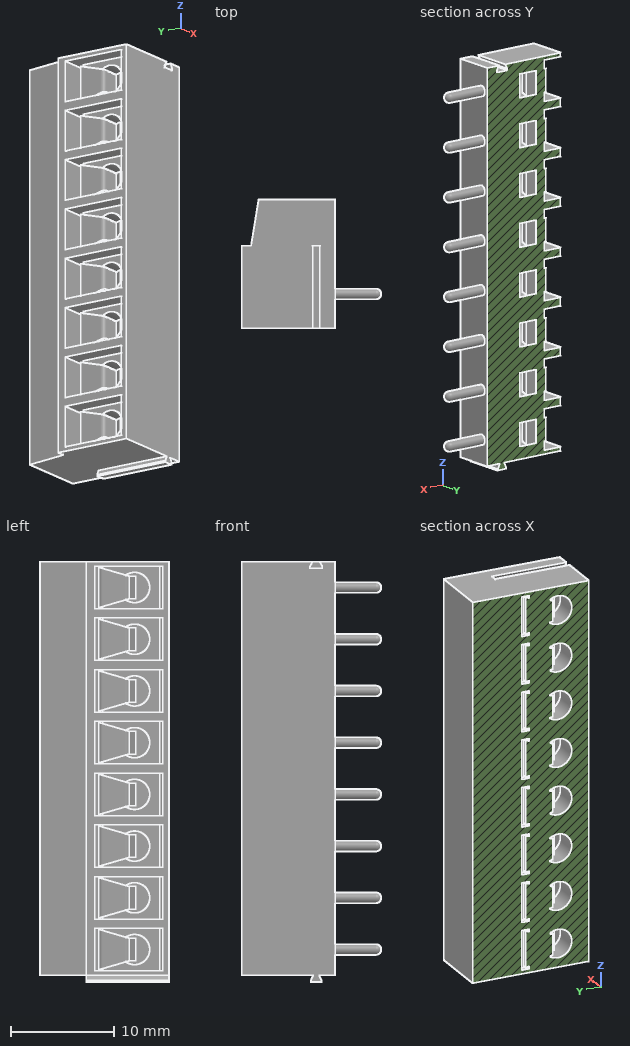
import cadquery as cq

pole_count = 8
overall_height = 40.7
rail_height = 0.65
body_height = overall_height - rail_height
pitch = body_height / pole_count
pole_heights = [(i + 0.5) * pitch for i in range(pole_count)]

body_length = 9.05
body_depth = 12.5
step_y = 8.0
step_x = 0.9
taper_top_x = 1.63

pocket_near_y = 0.6
pocket_far_y = 7.2
pocket_draft = 0.3
pocket_depth = 2.0
pocket_height = 4.1

pin_y = 3.35
clamp_radius = 1.45
clamp_depth = 3.0

sheet_front_x = 1.8
sheet_gap = 0.4
sheet_thickness = 0.33
root_bend_radius = 0.35
leg_bend_radius = 0.4
leg_y = 3.85
leg_end_x = 3.9
tail_width = 0.65
tail_rise = 0.33
sheet_root_height = 3.9
sheet_leg_height = 2.2
slot_end_x = 3.0

pin_radius = 0.53
pin_length = 4.47

dovetail_x = 7.2
rail_neck = 0.6
rail_width = 1.05
groove_neck = 0.7
groove_width = 1.22
groove_depth = 0.65
dovetail_lip = 0.15


def block(x_range, y_range, z_range):
    """Axis-aligned box given by its limits."""
    limits = (x_range, y_range, z_range)
    sizes = [high - low for low, high in limits]
    corner = tuple(low for low, high in limits)
    return cq.Workplane("XY").box(*sizes, centered=False).translate(corner)


def make_body():
    outline = [
        (0, 0),
        (body_length, 0),
        (body_length, body_depth),
        (taper_top_x, body_depth),
        (step_x, step_y),
        (0, step_y),
    ]
    return cq.Workplane("XY").polyline(outline).close().extrude(body_height)


def dovetail(neck, width, height, top_z):
    """Dovetail bar along Y, narrow at top_z and widening downwards."""
    lip_z = top_z - height + dovetail_lip
    bottom_z = top_z - height
    outline = [
        (dovetail_x - neck / 2, top_z),
        (dovetail_x - width / 2, lip_z),
        (dovetail_x - width / 2, bottom_z),
        (dovetail_x + width / 2, bottom_z),
        (dovetail_x + width / 2, lip_z),
        (dovetail_x + neck / 2, top_z),
    ]
    return cq.Workplane("XZ").polyline(outline).close().extrude(-step_y)


def make_pocket(z):
    """Pocket with one sloped wall, a slot beside the sheet and the clamp hole."""
    outline = [
        (0, pocket_near_y),
        (pocket_depth, pocket_near_y + pocket_draft),
        (pocket_depth, pocket_far_y),
        (0, pocket_far_y),
    ]
    low_z = z - pocket_height / 2
    pocket = cq.Workplane("XY", origin=(0, 0, low_z)).polyline(outline).close().extrude(pocket_height)
    slot_low_y = pocket_far_y - sheet_gap - root_bend_radius
    slot = block(
        (pocket_depth, slot_end_x),
        (slot_low_y, pocket_far_y),
        (low_z, low_z + pocket_height),
    )
    clamp = cq.Workplane("YZ", origin=(pocket_depth, pin_y, z)).circle(clamp_radius).extrude(clamp_depth)
    return pocket.union(slot).union(clamp)


def make_sheet(z):
    """Sheet bent round at its root, then into the clamp hole, with a tail folded back."""
    root_y = pocket_far_y - sheet_gap
    flat_start_y = root_y - root_bend_radius
    inner_leg_y = leg_y + sheet_thickness
    profile = (
        cq.Workplane("XY", origin=(0, 0, z - sheet_root_height / 2))
        .moveTo(slot_end_x, root_y)
        .lineTo(sheet_front_x + root_bend_radius, root_y)
        .radiusArc((sheet_front_x, flat_start_y), -root_bend_radius)
        .lineTo(sheet_front_x, leg_y + leg_bend_radius)
        .radiusArc((sheet_front_x + leg_bend_radius, leg_y), -leg_bend_radius)
        .lineTo(leg_end_x, leg_y)
        .lineTo(leg_end_x - tail_rise, leg_y - tail_width)
        .lineTo(leg_end_x - tail_rise + sheet_thickness, leg_y - tail_width)
        .lineTo(leg_end_x + sheet_thickness, inner_leg_y)
        .lineTo(slot_end_x, inner_leg_y)
        .close()
        .extrude(sheet_root_height)
    )
    tail_y = leg_y - tail_width
    front = [
        (root_y, z - sheet_root_height / 2),
        (leg_y, z - sheet_leg_height / 2),
        (tail_y, z - sheet_leg_height / 2),
        (tail_y, z + sheet_leg_height / 2),
        (leg_y, z + sheet_leg_height / 2),
        (root_y, z + sheet_root_height / 2),
    ]
    tapered = cq.Workplane("YZ").polyline(front).close().extrude(body_length)
    return profile.intersect(tapered)


def make_pin(z):
    """Round pin with a domed end, turned about its own axis along X."""
    shank_length = pin_length - pin_radius
    return (
        cq.Workplane("XY", origin=(body_length, pin_y, z))
        .lineTo(0, -pin_radius)
        .lineTo(shank_length, -pin_radius)
        .radiusArc((pin_length, 0), -pin_radius)
        .close()
        .revolve(360, (0, 0, 0), (1, 0, 0))
    )


result = make_body()
result = result.union(dovetail(rail_neck, rail_width, rail_height, 0))
result = result.cut(dovetail(groove_neck, groove_width, groove_depth, body_height))
for pole_z in pole_heights:
    result = result.cut(make_pocket(pole_z))
    result = result.union(make_sheet(pole_z))
    result = result.union(make_pin(pole_z))